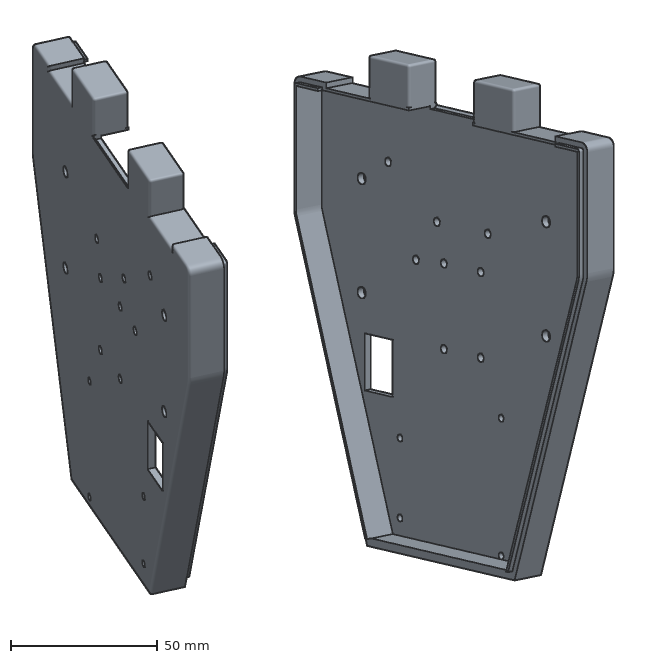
import cadquery as cq
import math

WIDTH = 147.0
SHOULDER_TOP = 159.0
TAPER_START = 112.0
BOTTOM_WIDTH = 74.0
DEPTH = 13.0
WALL = 3.0
EDGE_RADIUS = 1.0
SHOULDER_RADIUS = 3.0
TAPER_RADIUS = 10.0

SHOULDER_INNER_X = 57.5
FLANK_TOP = 157.0
TAB_TOP = 172.0
TAB_INNER_X = 16.0
TAB_OUTER_X = 36.5
CAVITY_TOP = SHOULDER_TOP - WALL
SILL_BEVEL = 1.0

LIP_HEIGHT = 2.0
LIP_SETBACK = 2.0

WINDOW_X = 42.0
WINDOW_Z = 61.0
WINDOW_WIDTH = 14.0
WINDOW_HEIGHT = 20.0

HOLES = {
    4.0: [(x, z) for x in (-42.0, 50.5) for z in (85.0, 125.0)],
    3.0: [
        (-12.75, 116.0), (12.75, 116.0),
        (-9.25, 102.0), (9.25, 102.0),
        (-9.25, 72.0), (9.25, 72.0),
        (37.25, 133.0), (23.25, 101.0),
    ],
    2.5: [(-19.5, 52.5), (-19.5, 4.25), (31.25, 37.25), (31.25, 9.25)],
}


def extrude_back(sketch, start, end):
    """Extrude an XZ sketch from Y = start to Y = end."""
    return sketch.extrude(start - end).translate((0, start, 0))


def block(x_min, x_max, y_min, y_max, z_min, z_max):
    """Axis-aligned box between the given limits."""
    size = (x_max - x_min, y_max - y_min, z_max - z_min)
    return cq.Workplane("XY").box(*size, centered=False).translate((x_min, y_min, z_min))


def tapered_body(inset, y_min, y_max):
    """Shield-shaped prism whose outline lies a given inset inside the tray."""
    half_top = WIDTH / 2
    half_bottom = BOTTOM_WIDTH / 2
    angle = math.atan2(half_top - half_bottom, TAPER_START)
    side = half_top - inset
    bend = TAPER_START - inset * math.tan(angle / 2)
    foot = half_bottom + inset * math.tan(angle) - inset / math.cos(angle)
    top = SHOULDER_TOP - inset
    outline = cq.Workplane("XZ").polyline(
        [(-foot, inset), (foot, inset), (side, bend), (side, top), (-side, top), (-side, bend)]
    ).close()
    body = extrude_back(outline, y_min, y_max)
    bends = cq.selectors.BoxSelector(
        (-WIDTH, y_min - WALL, bend - WALL), (WIDTH, y_max + WALL, bend + WALL)
    )
    body = body.edges(bends).edges("|Y").fillet(TAPER_RADIUS - inset)
    if inset < SHOULDER_RADIUS:
        body = body.edges("|Y and >Z").fillet(SHOULDER_RADIUS - inset)
    return body


def tab(x_min, x_max):
    """Upright block with every edge rounded except those at its foot."""
    body = block(x_min, x_max, 0, DEPTH, CAVITY_TOP, TAB_TOP)
    return body.edges("not <Z").fillet(EDGE_RADIUS)


def outer_body():
    """Solid tray with stepped top edge, rounded front edge and two tabs."""
    body = tapered_body(0, 0, DEPTH)
    body = body.cut(
        block(-SHOULDER_INNER_X, SHOULDER_INNER_X, 0, DEPTH, FLANK_TOP, SHOULDER_TOP)
    )
    body = body.faces("<Y").edges().fillet(EDGE_RADIUS)
    for x_min in (-TAB_OUTER_X, TAB_INNER_X):
        body = body.union(tab(x_min, x_min + TAB_OUTER_X - TAB_INNER_X))
    return body


def side_lips():
    """Thin rim behind each side wall, turning inward over the raised corners."""
    rear = DEPTH + LIP_HEIGHT
    rim = tapered_body(LIP_SETBACK, WALL, rear).cut(tapered_body(WALL, WALL, rear))
    lip_end = SHOULDER_INNER_X + LIP_SETBACK
    rim = rim.cut(block(-lip_end, lip_end, WALL, rear, TAPER_START, SHOULDER_TOP))
    return rim.cut(block(-WIDTH, WIDTH, WALL, rear, 0, WALL))


def top_opening():
    """Gap between the tabs, leaving only the front plate with a rear-sloping bevel."""
    sill = CAVITY_TOP - SILL_BEVEL
    profile = cq.Workplane("YZ").polyline(
        [(0, CAVITY_TOP), (SILL_BEVEL, sill), (DEPTH, sill), (DEPTH, TAB_TOP), (0, TAB_TOP)]
    ).close()
    return profile.extrude(TAB_INNER_X, both=True)


def window():
    """Rectangular cut through the front plate."""
    return block(
        WINDOW_X - WINDOW_WIDTH / 2, WINDOW_X + WINDOW_WIDTH / 2,
        0, WALL,
        WINDOW_Z - WINDOW_HEIGHT / 2, WINDOW_Z + WINDOW_HEIGHT / 2,
    )


def holes(diameter, centres):
    """Round cuts of one diameter through the front plate."""
    sketch = cq.Workplane("XZ").pushPoints(centres).circle(diameter / 2)
    return extrude_back(sketch, 0, WALL)


result = outer_body().cut(tapered_body(WALL, WALL, DEPTH))
result = result.union(side_lips()).cut(top_opening()).cut(window())
for diameter, centres in HOLES.items():
    result = result.cut(holes(diameter, centres))